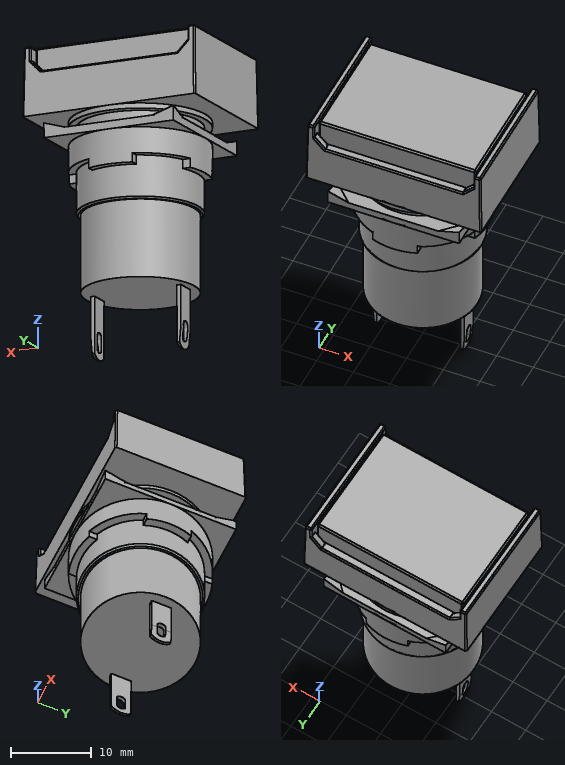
import cadquery as cq
import math

total_height = 39.0
tail_bottom_z = 8.0
barrel_bottom_z = 18.0
bezel_bottom_z = 30.0

bezel_length = 23.9
bezel_width = 17.9
bezel_draft = 0.15
bezel_chamfer = 0.2
cavity_half_length = 10.85
cavity_half_width = 7.88
notch_floor_z = 35.7
notch_floor_half_length = 9.35

button_gap = 0.1
button_chamfer = 0.25

flange_radius = bezel_width / 2
flange_thickness = 0.65
barrel_radius = 7.95
barrel_chamfer = 0.25
tail_radius = 7.45

terminal_inner_x = 5.7
terminal_thickness = 0.55
terminal_tip_thickness = 0.3
terminal_width = 2.7
terminal_taper_z = 2.55
terminal_tip_sag = 0.62
eyelet_width = 1.15
eyelet_length = 2.6
eyelet_center_z = 2.3

nut_size = bezel_width
nut_bottom_z = 22.4
nut_slot_depth = 1.17
nut_tooth_width = 6.1
nut_plate_bottom_z = 26.9
nut_plate_top_z = 27.92
nut_corner_rise = 0.9
nut_corner_leg = 2.85


def make_bezel():
    """Drafted box with a button cavity and a trapezoidal notch in both long walls."""
    height = total_height - bezel_bottom_z
    draft_angle = math.degrees(math.atan(bezel_draft / height))
    bezel = (
        cq.Workplane("XY", origin=(0, 0, bezel_bottom_z))
        .rect(bezel_length, bezel_width)
        .extrude(height, taper=draft_angle)
    )
    cavity = cq.Workplane("XY", origin=(0, 0, notch_floor_z)).rect(
        2 * cavity_half_length, 2 * cavity_half_width
    ).extrude(height)

    ramp = cavity_half_length - notch_floor_half_length
    notch = (
        cq.Workplane("XZ")
        .polyline([
            (-notch_floor_half_length, notch_floor_z),
            (notch_floor_half_length, notch_floor_z),
            (cavity_half_length, notch_floor_z + ramp),
            (cavity_half_length, total_height),
            (-cavity_half_length, total_height),
            (-cavity_half_length, notch_floor_z + ramp),
        ])
        .close()
        .extrude(bezel_width, both=True)
    )
    bezel = bezel.cut(cavity).cut(notch)
    return bezel.faces("<X or >X or <Y or >Y or >Z").edges("not <Z").chamfer(bezel_chamfer)


def make_button():
    """Flat button with a chamfer round its top and its upright corners."""
    return (
        cq.Workplane("XY", origin=(0, 0, notch_floor_z))
        .rect(2 * (cavity_half_length - button_gap), 2 * (cavity_half_width - button_gap))
        .extrude(total_height - notch_floor_z)
        .edges("|Z or >Z")
        .chamfer(button_chamfer)
    )


def make_cylinder(radius, bottom_z, top_z):
    """Upright cylinder on the part's axis."""
    return cq.Workplane("XY", origin=(0, 0, bottom_z)).circle(radius).extrude(top_z - bottom_z)


def make_terminal():
    """Flat terminal on the +X side, tapered and rounded at the tip, with an eyelet."""
    outer_x = terminal_inner_x + terminal_thickness
    half_width = terminal_width / 2
    side_profile = (
        cq.Workplane("XZ")
        .polyline([
            (terminal_inner_x, 0),
            (terminal_inner_x + terminal_tip_thickness, 0),
            (outer_x, terminal_taper_z),
            (outer_x, tail_bottom_z),
            (terminal_inner_x, tail_bottom_z),
        ])
        .close()
        .extrude(half_width, both=True)
    )
    face_outline = (
        cq.Workplane("YZ")
        .moveTo(-half_width, tail_bottom_z)
        .lineTo(-half_width, terminal_tip_sag)
        .threePointArc((0, 0), (half_width, terminal_tip_sag))
        .lineTo(half_width, tail_bottom_z)
        .close()
        .extrude(outer_x)
    )
    eyelet = (
        cq.Workplane("YZ")
        .center(0, eyelet_center_z)
        .slot2D(eyelet_length, eyelet_width, 90)
        .extrude(outer_x)
    )
    return side_profile.intersect(face_outline).cut(eyelet)


def make_housing():
    """Bezel, flange, stepped barrel and the two terminals as one body."""
    flange = make_cylinder(flange_radius, bezel_bottom_z - flange_thickness, bezel_bottom_z)
    barrel = make_cylinder(barrel_radius, barrel_bottom_z, bezel_bottom_z)
    barrel = barrel.faces("<Z").chamfer(barrel_chamfer)
    tail = make_cylinder(tail_radius, tail_bottom_z, barrel_bottom_z)
    terminal = make_terminal()
    return (
        make_bezel()
        .union(flange)
        .union(barrel)
        .union(tail)
        .union(terminal)
        .union(terminal.mirror("YZ"))
    )


def make_nut_corner():
    """Wedge on one corner of the nut plate, rising from a diagonal fold to the corner."""
    half = nut_size / 2
    corner = cq.Vector(half, half, nut_plate_top_z)
    fold_start = cq.Vector(half - nut_corner_leg, half, nut_plate_top_z)
    fold_end = cq.Vector(half, half - nut_corner_leg, nut_plate_top_z)
    peak = corner + cq.Vector(0, 0, nut_corner_rise)
    triangles = [
        (corner, fold_start, fold_end),
        (corner, fold_start, peak),
        (corner, fold_end, peak),
        (fold_start, fold_end, peak),
    ]
    faces = [cq.Face.makeFromWires(cq.Wire.makePolygon(points, close=True)) for points in triangles]
    return cq.Workplane(cq.Solid.makeSolid(cq.Shell.makeShell(faces)))


def make_nut():
    """Round nut with four teeth below and a square plate with raised corners on top."""
    nut = make_cylinder(nut_size / 2, nut_bottom_z, nut_plate_bottom_z)

    slots = make_cylinder(nut_size, nut_bottom_z, nut_bottom_z + nut_slot_depth)
    for bar_length, bar_width in [(nut_size, nut_tooth_width), (nut_tooth_width, nut_size)]:
        bar = cq.Workplane("XY", origin=(0, 0, nut_bottom_z)).rect(bar_length, bar_width)
        slots = slots.cut(bar.extrude(nut_slot_depth))
    nut = nut.cut(slots)

    plate = cq.Workplane("XY", origin=(0, 0, nut_plate_bottom_z)).rect(nut_size, nut_size)
    nut = nut.union(plate.extrude(nut_plate_top_z - nut_plate_bottom_z))
    corner = make_nut_corner()
    for quarter in range(4):
        nut = nut.union(corner.rotate((0, 0, 0), (0, 0, 1), 90 * quarter))

    return nut.cut(make_cylinder(barrel_radius, nut_bottom_z, bezel_bottom_z))


housing = make_housing()
button = make_button()
nut = make_nut()

result = cq.Compound.makeCompound([housing.val(), button.val(), nut.val()])